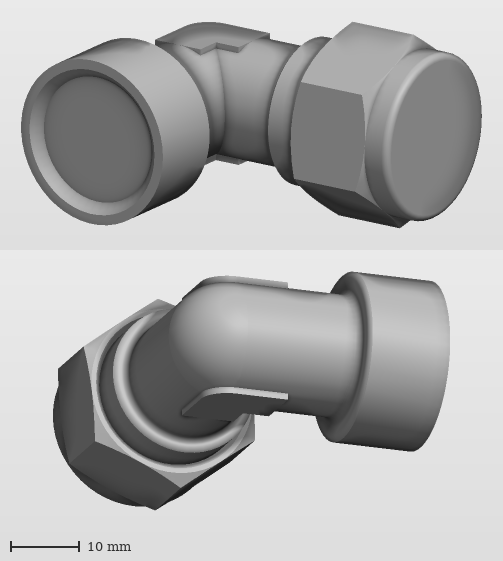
import cadquery as cq
import math

arm_radius = 9.0
shoulder_start = 17.5
neck_fillet = 1.0
neck_end_radius = arm_radius + neck_fillet

pad_half_width = 4.0
pad_reach = 8.0

socket_radius = 12.5
socket_end = 30.0
mouth_radius = 11.0
mouth_floor_radius = 9.5
mouth_depth = mouth_radius - mouth_floor_radius

collar_radius = 11.0

edge_length = 0.5
edge_height = collar_radius - neck_end_radius
edge_radius = (edge_length**2 + edge_height**2) / (2 * edge_length)

hex_start = 23.0
hex_end = 36.0
hex_across_flats = 25.0
hex_sides = 6
hex_turn = 7.0
hex_chamfer_angle = 30.0
nut_mouth_radius = 11.75
nut_mouth_depth = nut_mouth_radius - collar_radius
nut_end = 40.0
nut_sleeve_radius = hex_across_flats / 2
nut_end_fillet = 1.0


def revolve_about_x(profile):
    """Close a half profile in the XY plane and spin it about the X axis."""
    return profile.close().revolve(360, (0, 0, 0), (1, 0, 0))


def start_arm_profile():
    """Half profile of an arm along +X, up to the end of its neck fillet."""
    return (
        cq.Workplane("XY")
        .lineTo(0, arm_radius)
        .lineTo(shoulder_start - neck_fillet, arm_radius)
        .radiusArc((shoulder_start, neck_end_radius), -neck_fillet)
    )


def finish_arm(profile, shoulder_radius, shoulder_end):
    """Add the rounded edge and outer cylinder of the shoulder, then revolve the arm."""
    return revolve_about_x(
        profile
        .radiusArc((shoulder_start + edge_length, shoulder_radius), edge_radius)
        .lineTo(shoulder_end, shoulder_radius)
        .lineTo(shoulder_end, 0)
    )


def make_nut_arm():
    """Arm along +X with the collar, reaching to the bottom of the nut's countersink."""
    return finish_arm(start_arm_profile(), collar_radius, hex_start + nut_mouth_depth)


def make_socket_arm():
    """Arm along -Y that widens into the socket over a flat shoulder face."""
    profile = start_arm_profile().lineTo(shoulder_start, socket_radius - edge_height)
    arm = finish_arm(profile, socket_radius, socket_end)
    return arm.rotate((0, 0, 0), (0, 0, 1), -90)


def make_wrench_pads():
    """L-shaped block whose flats stand level with the top and bottom of the arms."""
    w = pad_half_width
    arc_mid = w * math.sqrt(0.5)
    return (
        cq.Workplane("XY", origin=(0, 0, -arm_radius))
        .moveTo(0, w)
        .lineTo(pad_reach, w)
        .lineTo(pad_reach, -w)
        .lineTo(w, -w)
        .lineTo(w, -pad_reach)
        .lineTo(-w, -pad_reach)
        .lineTo(-w, 0)
        .threePointArc((-arc_mid, arc_mid), (0, w))
        .close()
        .extrude(2 * arm_radius)
    )


def make_hex():
    """Hexagon of the nut, chamfered conically at both ends."""
    flat_radius = hex_across_flats / 2
    corner_radius = flat_radius / math.cos(math.pi / hex_sides)
    chamfer_length = (corner_radius - flat_radius) * math.tan(math.radians(hex_chamfer_angle))
    hexagon = (
        cq.Workplane("YZ", origin=(hex_start, 0, 0))
        .transformed(rotate=(0, 0, 90))
        .polygon(hex_sides, 2 * corner_radius)
        .extrude(hex_end - hex_start)
    )
    chamfer_envelope = revolve_about_x(
        cq.Workplane("XY")
        .moveTo(hex_start, 0)
        .lineTo(hex_start, flat_radius)
        .lineTo(hex_start + chamfer_length, corner_radius)
        .lineTo(hex_end - chamfer_length, corner_radius)
        .lineTo(hex_end, flat_radius)
        .lineTo(hex_end, 0)
    )
    return hexagon.intersect(chamfer_envelope)


def make_nut_sleeve():
    """Round end of the nut beyond the hexagon."""
    return (
        cq.Workplane("YZ", origin=(hex_end, 0, 0))
        .circle(nut_sleeve_radius)
        .extrude(nut_end - hex_end)
        .faces(">X")
        .edges()
        .fillet(nut_end_fillet)
    )


def make_nut_mouth():
    """Cone that narrows from the nut's inner face down to the collar."""
    return revolve_about_x(
        cq.Workplane("XY")
        .moveTo(hex_start, 0)
        .lineTo(hex_start, nut_mouth_radius)
        .lineTo(hex_start + nut_mouth_depth, collar_radius)
        .lineTo(hex_start + nut_mouth_depth, 0)
    )


def make_nut():
    """Complete nut, turned about its own axis."""
    nut = make_hex().union(make_nut_sleeve()).cut(make_nut_mouth())
    return nut.rotate((0, 0, 0), (1, 0, 0), -hex_turn)


def make_socket_mouth():
    """Conical recess that opens at the -Y end face."""
    return (
        cq.Workplane("XZ", origin=(0, -socket_end, 0))
        .circle(mouth_radius)
        .workplane(offset=-mouth_depth)
        .circle(mouth_floor_radius)
        .loft(combine=True)
    )


elbow_corner = cq.Workplane("XY").sphere(arm_radius)

result = (
    elbow_corner
    .union(make_nut_arm())
    .union(make_socket_arm())
    .union(make_wrench_pads())
    .union(make_nut())
    .cut(make_socket_mouth())
)